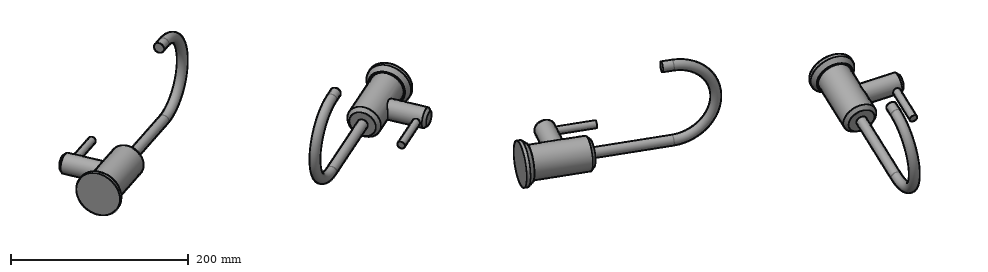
import cadquery as cq


flange_radius = 27.0
flange_rim_height = 4.5
flange_height = 10.5
flange_top_radius = 22.4
body_radius = 20.5
body_height = 83.9
body_chamfer = 4.5

arm_radius = 12.3
arm_reach = 65.5
arm_height = 46.5
arm_chamfer = 3.8

handle_radius = 4.7
handle_offset = 55.0
handle_top = 104.5

spout_radius = 6.4
spout_top = 235.5
spout_rise = 108.0
bend_radius = (spout_rise - spout_radius) / 2
bend_start = spout_top - bend_radius - spout_radius
tip_length = 12.7


def make_body():
    """Revolve the flange and the chamfered body about the Y axis."""
    return (
        cq.Workplane("XY")
        .lineTo(flange_radius, 0)
        .lineTo(flange_radius, flange_rim_height)
        .lineTo(flange_top_radius, flange_height)
        .lineTo(body_radius, flange_height)
        .lineTo(body_radius, body_height - body_chamfer)
        .lineTo(body_radius - body_chamfer, body_height)
        .lineTo(0, body_height)
        .close()
        .revolve(360, (0, 0, 0), (0, 1, 0))
    )


def make_arm():
    """Round arm from the body axis to a chamfered free end."""
    return (
        cq.Workplane("YZ")
        .center(arm_height, 0)
        .circle(arm_radius)
        .extrude(-arm_reach)
        .faces("<X")
        .chamfer(arm_chamfer)
    )


def make_handle():
    """Thin rod rising from the arm axis."""
    return (
        cq.Workplane("XZ", origin=(-handle_offset, arm_height, 0))
        .circle(handle_radius)
        .extrude(-(handle_top - arm_height))
    )


def make_spout():
    """Sweep a round section along the gooseneck, starting inside the body."""
    spout_start = body_height / 2
    tip_z = 2 * bend_radius
    path = (
        cq.Workplane("YZ")
        .moveTo(spout_start, 0)
        .lineTo(bend_start, 0)
        .threePointArc((bend_start + bend_radius, bend_radius), (bend_start, tip_z))
        .lineTo(bend_start - tip_length, tip_z)
    )
    return cq.Workplane("XZ", origin=(0, spout_start, 0)).circle(spout_radius).sweep(path)


result = make_body().union(make_arm()).union(make_handle()).union(make_spout())